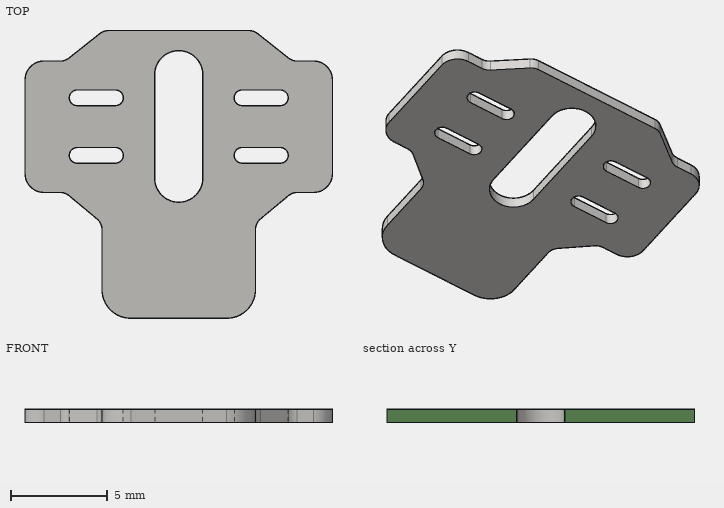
import cadquery as cq

width = 16.0
length = 14.98
thickness = 0.7
body_half_width = 4.0
half_width = width / 2
rear_y = length / 2
front_y = -rear_y

shoulder_length = 1.58
ear_rear_y = rear_y - shoulder_length
ear_length = 6.85
ear_front_y = ear_rear_y - ear_length
shoulder_outer_x = 5.9
rear_shoulder_x = 3.9
shoulder_front_y = ear_front_y - shoulder_length

ear_radius = 1.0
front_radius = 1.5
shoulder_radius = 0.7

main_slot_length = 7.87
main_slot_width = 2.5
main_slot_rear_margin = 1.05
main_slot_y = rear_y - main_slot_rear_margin - main_slot_length / 2
side_slot_length = 2.8
side_slot_width = 0.8
side_slot_x = 4.29
side_slot_setback = 3.5
side_slot_rear_y = rear_y - side_slot_setback
side_slot_pitch = 3.0


def round_corners(solid, corners, radius):
    """Round the vertical edges at the given corners and their mirror images."""
    for corner_x, corner_y in corners:
        for x in (-corner_x, corner_x):
            nearest = cq.selectors.NearestToPointSelector((x, corner_y, thickness / 2))
            solid = solid.edges("|Z").edges(nearest).fillet(radius)
    return solid


def plate():
    """Symmetric plate with rounded vertical edges."""
    right_side = [
        (body_half_width, front_y),
        (body_half_width, shoulder_front_y),
        (shoulder_outer_x, ear_front_y),
        (half_width, ear_front_y),
        (half_width, ear_rear_y),
        (shoulder_outer_x, ear_rear_y),
        (rear_shoulder_x, rear_y),
    ]
    left_side = [(-x, y) for x, y in reversed(right_side)]
    body = cq.Workplane("XY").polyline(right_side + left_side).close().extrude(thickness)

    front_corner = right_side[0]
    ear_corners = right_side[3:5]
    shoulder_corners = right_side[1:3] + right_side[5:]
    body = round_corners(body, shoulder_corners, shoulder_radius)
    body = round_corners(body, ear_corners, ear_radius)
    return round_corners(body, [front_corner], front_radius)


def slot_cutter(centers, slot_length, slot_width, angle=0):
    """Through-slots with round ends, one at each center."""
    return (
        cq.Workplane("XY")
        .pushPoints(centers)
        .slot2D(slot_length, slot_width, angle)
        .extrude(thickness)
    )


side_slot_centers = [
    (x, y)
    for x in (-side_slot_x, side_slot_x)
    for y in (side_slot_rear_y, side_slot_rear_y - side_slot_pitch)
]

main_slot = slot_cutter([(0, main_slot_y)], main_slot_length, main_slot_width, angle=90)
side_slots = slot_cutter(side_slot_centers, side_slot_length, side_slot_width)

result = plate().cut(main_slot).cut(side_slots)